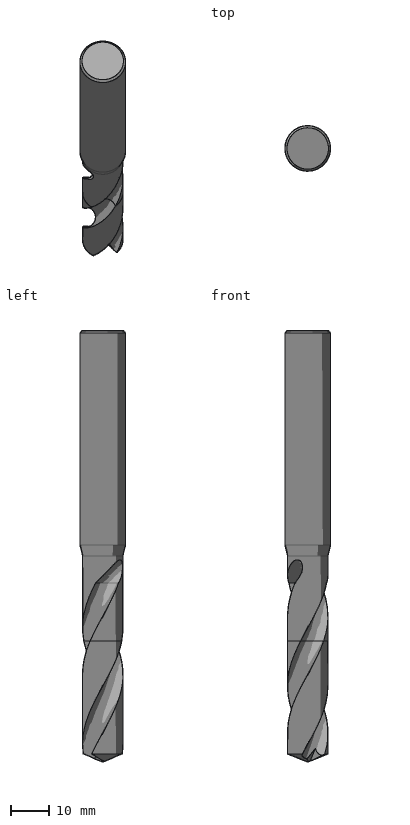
import cadquery as cq
import math

total_length = 113.0
shank_diameter = 12.0
drill_diameter = 10.6
point_angle = 136.0
joint_height = 31.8
flute_end_height = 46.9
runout_end_height = 53.0
neck_bottom_height = 54.0
neck_top_height = 56.8
shank_chamfer = 0.6

flute_count = 2
flute_lead = 61.0
flute_width_angle = 72.0
web_radius = 1.9
flute_joint_angle = -74.3
runout_angle = 44.0

gash_height = 4.1
gash_reach = 2.6
gash_shift = 0.7
gash_back_angle = 70.0
gash_front_angle = 15.0
gash_direction = -50.0

shank_radius = shank_diameter / 2
drill_radius = drill_diameter / 2
point_height = drill_radius / math.tan(math.radians(point_angle / 2))

flute_half_chord = drill_radius * math.sin(math.radians(flute_width_angle / 2))
flute_chord_distance = drill_radius * math.cos(math.radians(flute_width_angle / 2))
flute_depth = flute_chord_distance - web_radius
flute_radius = (flute_half_chord**2 + flute_depth**2) / (2 * flute_depth)
flute_center = web_radius + flute_radius

flute_turn = 360.0 / flute_count
axis_start = (0, 0, 0)
axis_end = (0, 0, 1)


def flute_angle(height):
    """Direction of the first flute at a given height."""
    return flute_joint_angle + 360.0 * (height - joint_height) / flute_lead


def make_blank():
    """Turned drill: conical point, fluted length, neck and chamfered shank."""
    return (
        cq.Workplane("XZ")
        .moveTo(0, 0)
        .lineTo(drill_radius, point_height)
        .lineTo(drill_radius, neck_bottom_height)
        .lineTo(shank_radius, neck_top_height)
        .lineTo(shank_radius, total_length - shank_chamfer)
        .lineTo(shank_radius - shank_chamfer, total_length)
        .lineTo(0, total_length)
        .close()
        .revolve(360, axis_start, (0, 1, 0))
    )


def make_helical_flute():
    """Helical stretch of the first flute, from Z = 0 to the runout."""
    return (
        cq.Workplane("XY")
        .moveTo(flute_center, 0)
        .circle(flute_radius)
        .twistExtrude(flute_end_height, 360.0 * flute_end_height / flute_lead)
        .rotate(axis_start, axis_end, flute_angle(0))
    )


def make_flute_runout():
    """Straight slanted end of the first flute, leaving the drill sideways."""
    clear_center = drill_radius + flute_radius
    end_x = clear_center * math.cos(math.radians(runout_angle))
    end_y = clear_center * math.sin(math.radians(runout_angle))
    return (
        cq.Workplane("XY", origin=(0, 0, flute_end_height))
        .moveTo(flute_center, 0)
        .circle(flute_radius)
        .workplane(offset=runout_end_height - flute_end_height)
        .moveTo(end_x, end_y)
        .circle(flute_radius)
        .loft(ruled=True)
        .rotate(axis_start, axis_end, flute_angle(flute_end_height))
    )


def make_gash():
    """First V groove at the point, its floor slanting outward and upward."""
    slope = math.atan2(gash_height, gash_reach)
    run = (math.cos(slope), 0, math.sin(slope))
    opening = (math.sin(slope), 0, -math.cos(slope))
    depth = drill_diameter
    back_width = depth * math.tan(math.radians(gash_back_angle))
    front_width = depth * math.tan(math.radians(gash_front_angle))
    groove_plane = cq.Plane(origin=(0, gash_shift, 0), xDir=opening, normal=run)
    return (
        cq.Workplane(groove_plane)
        .polyline([(0, 0), (depth, front_width), (depth, -back_width)])
        .close()
        .extrude(drill_diameter, both=True)
        .rotate(axis_start, axis_end, gash_direction)
    )


def make_drill():
    """Whole drill with its flutes and gashes, before it is parted at the joint."""
    drill = make_blank()
    cutters = [make_helical_flute(), make_flute_runout(), make_gash()]
    for index in range(flute_count):
        for cutter in cutters:
            drill = drill.cut(cutter.rotate(axis_start, axis_end, index * flute_turn))
    return drill


def make_slab(bottom, top):
    """Block around the drill between two heights."""
    return (
        cq.Workplane("XY", origin=(0, 0, bottom))
        .rect(2 * shank_diameter, 2 * shank_diameter)
        .extrude(top - bottom)
    )


drill = make_drill()
cutting_head = drill.intersect(make_slab(0, joint_height))
shank = drill.intersect(make_slab(joint_height, total_length))

result = cq.Compound.makeCompound([cutting_head.val(), shank.val()])